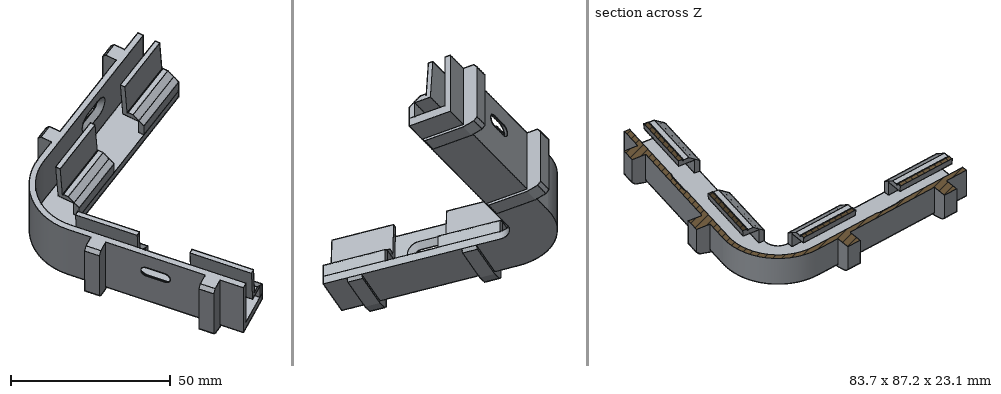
import cadquery as cq
import math

LEG_ANGLE = 82.0
BEND_OUTER_RADIUS = 20.0
FLOOR_WIDTH = 15.0
FLOOR_THICKNESS = 3.0
WALL_THICKNESS = 2.0
WALL_HEIGHT = 22.1
CLIP_LENGTH = 21.0
MIDDLE_LENGTH = 18.0
LEG_LENGTH = 2 * CLIP_LENGTH + MIDDLE_LENGTH
INNER_EDGE = BEND_OUTER_RADIUS - FLOOR_WIDTH
WALL_INNER = BEND_OUTER_RADIUS - WALL_THICKNESS

RAIL_WIDTH = 5.1
RAIL_REACH = 5.0
RAIL_DROP = 1.0
RAIL_CHAMFER = 1.1
RAIL_TOP_CHAMFER_HEIGHT = 1.3

SLOT_LENGTH = 10.0
SLOT_HEIGHT = 4.0
SLOT_CENTRE_Z = 14.0
SLOT_LAND = 0.2
COUNTERSINK_ANGLE = 45.0

PLATE_THICKNESS = 1.7
PLATE_OUTER_TOP = 13.6
PLATE_LEAN = 3.7
RELIEF_WIDTH = 0.3
RELIEF_DEPTH = 0.35
LEDGE_TOP = 10.3
LEDGE_THICKNESS = 1.9
BEVEL_WIDTH = 4.0
BEVEL_HEIGHT = 3.0
FOOT_THICKNESS = 2.0

CLIP_STARTS = (0, CLIP_LENGTH + MIDDLE_LENGTH)


def extrude_along_leg(profile, start, length):
    """Extrude an (across, height) outline along +X; across grows toward -Y."""
    outline = [(-across, height) for across, height in profile]
    return cq.Workplane("YZ", origin=(start, 0, 0)).polyline(outline).close().extrude(length)


def leg_base():
    """Floor and outer wall of one leg."""
    profile = [
        (INNER_EDGE, 0),
        (BEND_OUTER_RADIUS, 0),
        (BEND_OUTER_RADIUS, WALL_HEIGHT),
        (WALL_INNER, WALL_HEIGHT),
        (WALL_INNER, FLOOR_THICKNESS),
        (INNER_EDGE, FLOOR_THICKNESS),
    ]
    return extrude_along_leg(profile, 0, LEG_LENGTH)


def rail(start):
    """Rail that stands out from the wall and runs on under the floor."""
    tip = BEND_OUTER_RADIUS + RAIL_REACH
    under_floor = [
        (INNER_EDGE, 0),
        (INNER_EDGE + RAIL_DROP, -RAIL_DROP),
        (BEND_OUTER_RADIUS, -RAIL_DROP),
    ]
    outside_wall = [
        (tip - RAIL_CHAMFER, 0),
        (tip, RAIL_CHAMFER),
        (tip, WALL_HEIGHT - RAIL_TOP_CHAMFER_HEIGHT),
        (tip - RAIL_CHAMFER, WALL_HEIGHT),
        (BEND_OUTER_RADIUS, WALL_HEIGHT),
        (BEND_OUTER_RADIUS, 0),
    ]
    rail_start = start + (CLIP_LENGTH - RAIL_WIDTH) / 2
    return extrude_along_leg(under_floor + outside_wall, rail_start, RAIL_WIDTH)


def wall_slot():
    """Round-ended slot through the wall, countersunk from the inner face."""
    flare = (WALL_THICKNESS - SLOT_LAND) * math.tan(math.radians(COUNTERSINK_ANGLE))
    centre_x = LEG_LENGTH / 2
    straight_part = (
        cq.Workplane("XZ", origin=(centre_x, -WALL_INNER, SLOT_CENTRE_Z))
        .slot2D(SLOT_LENGTH, SLOT_HEIGHT)
        .extrude(WALL_THICKNESS)
    )
    countersink = (
        cq.Workplane("XZ", origin=(centre_x, -WALL_INNER, SLOT_CENTRE_Z))
        .slot2D(SLOT_LENGTH + 2 * flare, SLOT_HEIGHT + 2 * flare)
        .extrude(WALL_THICKNESS - SLOT_LAND, taper=COUNTERSINK_ANGLE)
    )
    return straight_part.union(countersink)


def leg():
    """One leg along +X with its wall on the -Y side."""
    body = leg_base().cut(wall_slot())
    for start in CLIP_STARTS:
        body = body.union(rail(start))
    return body


def bend_ring_sector(inner_radius, height):
    """Part of a ring that joins the two legs around the Z axis."""
    sweep = 180 - LEG_ANGLE
    section = [
        (inner_radius, 0),
        (BEND_OUTER_RADIUS, 0),
        (BEND_OUTER_RADIUS, height),
        (inner_radius, height),
    ]
    sector = cq.Workplane("XZ").polyline(section).close().revolve(sweep, (0, 0, 0), (0, 1, 0))
    return sector.rotate((0, 0, 0), (0, 0, 1), -90 - sweep)


def plate_outer_face(height):
    """Place across the leg of the outer face of a plate at a given height."""
    return PLATE_OUTER_TOP - (WALL_HEIGHT - height) * math.tan(math.radians(PLATE_LEAN))


def plate_inner_face(height):
    """Place across the leg of the inner face of a plate at a given height."""
    return plate_outer_face(height) - PLATE_THICKNESS


def clip(start):
    """Clip that stands on the floor: foot, bevelled ledge and leaning plate."""
    ledge_bottom = LEDGE_TOP - LEDGE_THICKNESS
    relief_bottom = LEDGE_TOP - RELIEF_DEPTH
    relief_outer = plate_inner_face(relief_bottom)
    relief_inner = relief_outer - RELIEF_WIDTH
    foot_inside = INNER_EDGE + FOOT_THICKNESS
    profile = [
        (INNER_EDGE, FLOOR_THICKNESS),
        (INNER_EDGE, LEDGE_TOP - BEVEL_HEIGHT),
        (INNER_EDGE + BEVEL_WIDTH, LEDGE_TOP),
        (relief_inner, LEDGE_TOP),
        (relief_inner, relief_bottom),
        (relief_outer, relief_bottom),
        (plate_inner_face(WALL_HEIGHT), WALL_HEIGHT),
        (plate_outer_face(WALL_HEIGHT), WALL_HEIGHT),
        (plate_outer_face(ledge_bottom), ledge_bottom),
        (foot_inside, ledge_bottom),
        (foot_inside, FLOOR_THICKNESS),
    ]
    return extrude_along_leg(profile, start, CLIP_LENGTH)


def on_second_leg(shape):
    """Mirror a shape of the first leg and turn it onto the second leg."""
    return shape.mirror("XZ").rotate((0, 0, 0), (0, 0, 1), LEG_ANGLE)


first_leg = leg()
bend = bend_ring_sector(INNER_EDGE, FLOOR_THICKNESS).union(bend_ring_sector(WALL_INNER, WALL_HEIGHT))
bracket = first_leg.union(bend).union(on_second_leg(first_leg))

clips = []
for clip_start in CLIP_STARTS:
    first_leg_clip = clip(clip_start)
    clips.append(first_leg_clip.val())
    clips.append(on_second_leg(first_leg_clip).val())

result = cq.Compound.makeCompound([bracket.val(), *clips])